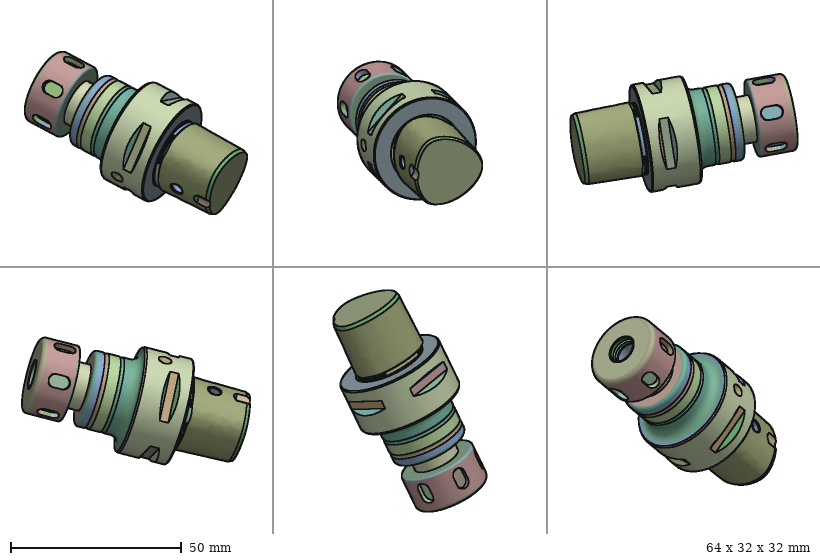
import cadquery as cq
import math

LENGTH = 64.0
NUT_END = 11.5
COLLAR_START = 16.0
FILLET_START = 27.0
FLANGE_START = 29.9
FLANGE_END = 44.9
SHANK_START = 46.65
SHANK_CHAMFER_START = 62.85

BODY_RADIUS = 23.0 / 2
NECK_RADIUS = 14.0 / 2
FLANGE_RADIUS = 16.0

NUT_FRONT_FILLET = 1.5
NUT_REAR_FILLET = 0.65
COLLAR_FILLET = 1.15
FLANGE_CHAMFER_DEPTH = 0.3
FLANGE_FRONT_CHAMFER_LENGTH = 0.6
FLANGE_REAR_CHAMFER_LENGTH = 0.4

RING_GROOVES = [(18.9, 20.2), (23.75, 24.9)]
RING_GROOVE_DEPTH = 0.225

SLOT_COUNT = 6
SLOT_CENTER = 6.7
SLOT_LENGTH = 6.5
SLOT_WIDTH = 4.0
SLOT_FLOOR_RADIUS = 9.6

MOUTH_RADIUS = 8.8 / 2
LIP_RADIUS = 8.0 / 2
LAND_RADIUS = 3.65
CAVITY_RADIUS = 6.0
BORE_STEPS = [
    (0.0, 0.2, MOUTH_RADIUS),
    (0.2, 1.3, LIP_RADIUS),
    (1.3, 2.0, CAVITY_RADIUS),
    (2.0, 2.95, LAND_RADIUS),
    (2.95, 3.25, CAVITY_RADIUS),
    (3.25, 8.95, LAND_RADIUS),
]

COOLANT_DIAMETER = 2.0
COOLANT_OFFSET = 3.5
COOLANT_TILT = 50.0
COOLANT_DEPTH = 4.15

NOTCH_COUNT = 4
NOTCH_CENTER = 39.05
NOTCH_FLOOR_WIDTH = 2.6
NOTCH_FLOOR_RADIUS = 14.1
NOTCH_WALL_ANGLE = 30.0

DIMPLE_CENTER = 36.0
DIMPLE_DIAMETER = 4.0
DRILL_POINT_ANGLE = 118.0

SHANK_RADIUS = 11.0
LOBE_HEIGHT = 0.7
TAPER_SLOPE = 1 / 40
SHANK_CHAMFER_DEPTH = 0.45
LOBE_POINTS = 72

RELIEF_OFFSET = 0.3
RELIEF_CHAMFER = 0.25
SHOULDER_RADIUS = 10.75
SHOULDER_LENGTH = 0.25
RELIEF_RADIUS = 10.6
RELIEF_FLAT_START = 45.45
RELIEF_FLAT_END = 45.9
RELIEF_CLEARANCE = 2 * LOBE_HEIGHT

SHANK_HOLE_CENTER = 52.9
SHANK_HOLE_DIAMETER = 3.6
SHANK_HOLE_CHAMFER = 0.4
SHANK_HOLE_DEPTH = 3.2
KEYWAY_START = 59.85
KEYWAY_RADIUS = 2.5
KEYWAY_OFFSET = 11.45
KEYWAY_TIP_ANGLE = 90.0

OVERRUN = 0.65

AGAINST_X = (-1, 0, 0)
ALONG_Y = (0, 1, 0)


def revolve_x(profile):
    return profile.close().revolve(360, (0, 0, 0), (1, 0, 0))


def disc(start, end, radius):
    """Solid cylinder along X between two stations."""
    return cq.Workplane("YZ", origin=(start, 0, 0)).circle(radius).extrude(end - start)


def cone(base, direction, height, base_radius, end_radius):
    solid = cq.Solid.makeCone(base_radius, end_radius, height, cq.Vector(base), cq.Vector(direction))
    return cq.Workplane(obj=solid)


def turned_body():
    nut = disc(0, NUT_END, BODY_RADIUS)
    nut = nut.faces("<X").edges().fillet(NUT_FRONT_FILLET)
    nut = nut.faces(">X").edges().fillet(NUT_REAR_FILLET)
    neck = disc(NUT_END, COLLAR_START, NECK_RADIUS)

    fillet = FLANGE_START - FILLET_START
    fillet_center = (FILLET_START, BODY_RADIUS + fillet)
    diagonal = fillet * math.sqrt(0.5)
    flange_edge = FLANGE_RADIUS - FLANGE_CHAMFER_DEPTH
    collar = (
        cq.Workplane("XY")
        .moveTo(COLLAR_START, 0)
        .lineTo(COLLAR_START, BODY_RADIUS - COLLAR_FILLET)
        .radiusArc((COLLAR_START + COLLAR_FILLET, BODY_RADIUS), COLLAR_FILLET)
    )
    for start, end in RING_GROOVES:
        collar = collar.lineTo(start, BODY_RADIUS)
        bottom = ((start + end) / 2, BODY_RADIUS - RING_GROOVE_DEPTH)
        collar = collar.threePointArc(bottom, (end, BODY_RADIUS))
    collar = (
        collar.lineTo(FILLET_START, BODY_RADIUS)
        .threePointArc(
            (fillet_center[0] + diagonal, fillet_center[1] - diagonal),
            (FLANGE_START, BODY_RADIUS + fillet),
        )
        .lineTo(FLANGE_START, flange_edge)
        .lineTo(FLANGE_START + FLANGE_FRONT_CHAMFER_LENGTH, FLANGE_RADIUS)
        .lineTo(FLANGE_END - FLANGE_REAR_CHAMFER_LENGTH, FLANGE_RADIUS)
        .lineTo(FLANGE_END, flange_edge)
        .lineTo(FLANGE_END, 0)
    )
    return nut.union(neck).union(revolve_x(collar))


def lobed_point(radius, turn):
    """Point of a three-lobed outline of constant width, with one lobe toward +Y."""
    reach = radius + LOBE_HEIGHT * math.cos(3 * turn)
    slope = -3 * LOBE_HEIGHT * math.sin(3 * turn)
    return (
        reach * math.cos(turn) - slope * math.sin(turn),
        reach * math.sin(turn) + slope * math.cos(turn),
    )


def lobed_stretch(start, end, start_radius, end_radius):
    def outline(radius):
        return [lobed_point(radius, 2 * math.pi * i / LOBE_POINTS) for i in range(LOBE_POINTS)]

    return (
        cq.Workplane("YZ", origin=(start, 0, 0))
        .spline(outline(start_radius), periodic=True)
        .close()
        .workplane(offset=end - start)
        .spline(outline(end_radius), periodic=True)
        .close()
        .loft(ruled=True)
    )


def shank():
    rear_radius = SHANK_RADIUS - (SHANK_CHAMFER_START - SHANK_START) * TAPER_SLOPE
    relief_radius = SHANK_RADIUS - RELIEF_OFFSET
    stations = [
        (FLANGE_END, relief_radius),
        (SHANK_START - RELIEF_CHAMFER, relief_radius),
        (SHANK_START, SHANK_RADIUS),
        (SHANK_CHAMFER_START, rear_radius),
        (LENGTH, rear_radius - SHANK_CHAMFER_DEPTH),
    ]
    body = cq.Workplane("XY")
    for (start, start_radius), (end, end_radius) in zip(stations, stations[1:]):
        body = body.union(lobed_stretch(start, end, start_radius, end_radius))
    clear_radius = SHANK_RADIUS + RELIEF_CLEARANCE
    relief = (
        cq.Workplane("XY")
        .moveTo(FLANGE_END, SHOULDER_RADIUS)
        .lineTo(FLANGE_END + SHOULDER_LENGTH, SHOULDER_RADIUS)
        .lineTo(RELIEF_FLAT_START, RELIEF_RADIUS)
        .lineTo(RELIEF_FLAT_END, RELIEF_RADIUS)
        .lineTo(RELIEF_FLAT_END + clear_radius - RELIEF_RADIUS, clear_radius)
        .lineTo(FLANGE_END, clear_radius)
    )
    shoulder = disc(FLANGE_END, FLANGE_END + SHOULDER_LENGTH, SHOULDER_RADIUS)
    return body.cut(revolve_x(relief)).union(shoulder)


def nut_slots():
    slots = cq.Workplane("XY")
    for i in range(SLOT_COUNT):
        slot = (
            cq.Workplane("XZ", origin=(SLOT_CENTER, -SLOT_FLOOR_RADIUS, 0))
            .slot2D(SLOT_LENGTH, SLOT_WIDTH)
            .extrude(BODY_RADIUS - SLOT_FLOOR_RADIUS + OVERRUN)
        )
        slots = slots.add(slot.rotate((0, 0, 0), (1, 0, 0), i * 360 / SLOT_COUNT))
    return slots.combine()


def collet_bore():
    bore = cq.Workplane("XY")
    for start, end, radius in BORE_STEPS:
        bore = bore.union(disc(start, end, radius))
    floor = BORE_STEPS[-1][1]
    tilt = math.radians(COOLANT_TILT)
    for side in (1, -1):
        direction = cq.Vector(math.cos(tilt), 0, -side * math.sin(tilt))
        entry = cq.Vector(floor, 0, side * COOLANT_OFFSET)
        lead_in = COOLANT_DIAMETER / 2
        start = entry - direction * lead_in
        hole = cq.Solid.makeCylinder(COOLANT_DIAMETER / 2, COOLANT_DEPTH + lead_in, start, direction)
        bore = bore.union(cq.Workplane(obj=hole))
    return bore


def gripper_notches():
    half_floor = NOTCH_FLOOR_WIDTH / 2
    height = FLANGE_RADIUS - NOTCH_FLOOR_RADIUS
    half_mouth = half_floor + height * math.tan(math.radians(NOTCH_WALL_ANGLE))
    notches = cq.Workplane("XY")
    for i in range(NOTCH_COUNT):
        notch = (
            cq.Workplane("XY")
            .moveTo(NOTCH_CENTER - half_floor, NOTCH_FLOOR_RADIUS)
            .lineTo(NOTCH_CENTER + half_floor, NOTCH_FLOOR_RADIUS)
            .lineTo(NOTCH_CENTER + half_mouth, FLANGE_RADIUS)
            .lineTo(NOTCH_CENTER - half_mouth, FLANGE_RADIUS)
            .close()
            .extrude(FLANGE_RADIUS, both=True)
        )
        notches = notches.add(notch.rotate((0, 0, 0), (1, 0, 0), (i + 0.5) * 360 / NOTCH_COUNT))
    return notches.combine()


def flange_dimple():
    radius = DIMPLE_DIAMETER / 2
    depth = radius / math.tan(math.radians(DRILL_POINT_ANGLE / 2))
    return cone((DIMPLE_CENTER, -FLANGE_RADIUS, 0), ALONG_Y, depth, radius, 0)


def shank_hole():
    surface = SHANK_RADIUS - LOBE_HEIGHT - (SHANK_HOLE_CENTER - SHANK_START) * TAPER_SLOPE
    radius = SHANK_HOLE_DIAMETER / 2
    hole = cq.Workplane("XZ", origin=(SHANK_HOLE_CENTER, SHANK_HOLE_DEPTH - surface, 0))
    hole = hole.circle(radius).extrude(SHANK_HOLE_DEPTH + OVERRUN)
    mouth = (SHANK_HOLE_CENTER, -surface, 0)
    return hole.union(cone(mouth, ALONG_Y, SHANK_HOLE_CHAMFER, radius + SHANK_HOLE_CHAMFER, radius))


def keyway():
    tip_length = KEYWAY_RADIUS / math.tan(math.radians(KEYWAY_TIP_ANGLE / 2))
    tool = disc(KEYWAY_START, LENGTH, KEYWAY_RADIUS)
    tool = tool.union(cone((KEYWAY_START, 0, 0), AGAINST_X, tip_length, KEYWAY_RADIUS, 0))
    return tool.translate((0, -KEYWAY_OFFSET, 0))


result = turned_body().union(shank())
for cutter in (nut_slots(), collet_bore(), gripper_notches(), flange_dimple(), shank_hole(), keyway()):
    result = result.cut(cutter)